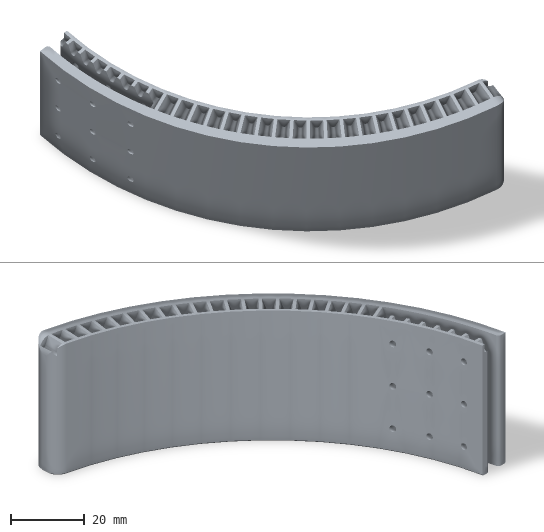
import cadquery as cq
import math

INNER_RADIUS = 90.0
OUTER_RADIUS = 100.0
HEIGHT = 40.0
START_ANGLE = -71.0
END_ANGLE = 9.0
TIP_RADIUS = 4.0
BOTTOM_CHAMFER = 0.4

FLAP_THICKNESS = 3.0
SLOT_SPAN = 20.0
LEAD_IN_RADIUS = 1.0

HOLE_DIAMETER = 2.0
HOLE_ANGLE_STEP = 7.0
FIRST_HOLE_OFFSET = 4.0
HOLE_HEIGHT_STEP = 13.0
HOLE_COLUMNS = 3
HOLE_ROWS = 3

POCKET_COUNT = 29
POCKET_PITCH = 2.81
LAST_POCKET_OFFSET = 0.8
POCKET_DEPTH = 3.4
POCKET_INNER_WALL = 1.0
POCKET_OUTER_WALL = 3.0
POCKET_FLANK_ANGLE = 21.0
RIB_THICKNESS = 0.95

SLOT_INNER_RADIUS = INNER_RADIUS + FLAP_THICKNESS
SLOT_OUTER_RADIUS = OUTER_RADIUS - FLAP_THICKNESS
SLOT_END_ANGLE = START_ANGLE + SLOT_SPAN
POCKET_INNER_RADIUS = INNER_RADIUS + POCKET_INNER_WALL
POCKET_OUTER_RADIUS = OUTER_RADIUS - POCKET_OUTER_WALL
CLEARANCE = 1.0


def polar(radius, angle):
    """Point in the XY plane at a radius and an angle in degrees."""
    return (radius * math.cos(math.radians(angle)), radius * math.sin(math.radians(angle)))


def radial_plane(radius, angle, z=0.0):
    """Plane facing outward: local x runs along increasing angle, local y runs up."""
    x, y = polar(radius, angle)
    normal_x, normal_y = polar(1.0, angle)
    return cq.Plane(origin=(x, y, z), xDir=(-normal_y, normal_x, 0), normal=(normal_x, normal_y, 0))


def arc_band(inner_radius, outer_radius, start_angle, end_angle):
    """Full-height band between two concentric arcs."""
    middle = (start_angle + end_angle) / 2
    return (
        cq.Workplane("XY")
        .moveTo(*polar(outer_radius, start_angle))
        .threePointArc(polar(outer_radius, middle), polar(outer_radius, end_angle))
        .lineTo(*polar(inner_radius, end_angle))
        .threePointArc(polar(inner_radius, middle), polar(inner_radius, start_angle))
        .close()
        .extrude(HEIGHT)
    )


def upright_edges_near(body, radius, angle):
    """The upright edge of a body closest to a polar position."""
    x, y = polar(radius, angle)
    return body.edges("|Z").edges(cq.selectors.NearestToPointSelector((x, y, HEIGHT / 2)))


def is_off_forked_end(edge):
    """True unless the edge lies in the plane of the forked end."""
    center = edge.Center()
    return math.degrees(math.atan2(center.y, center.x)) > START_ANGLE + CLEARANCE


def make_band():
    """Curved band with a rounded tip and a chamfered bottom rim."""
    band = arc_band(INNER_RADIUS, OUTER_RADIUS, START_ANGLE, END_ANGLE)
    for radius in (INNER_RADIUS, OUTER_RADIUS):
        band = upright_edges_near(band, radius, END_ANGLE).fillet(TIP_RADIUS)
    return band.faces("<Z").edges().filter(is_off_forked_end).chamfer(BOTTOM_CHAMFER)


def make_tip_rounding_tool():
    """Material removed to round the top edge of the tip."""
    diagonal = TIP_RADIUS * math.sqrt(0.5)
    return (
        cq.Workplane(radial_plane(INNER_RADIUS - CLEARANCE, END_ANGLE, HEIGHT - TIP_RADIUS))
        .moveTo(-TIP_RADIUS, TIP_RADIUS)
        .threePointArc((diagonal - TIP_RADIUS, diagonal), (0, 0))
        .lineTo(CLEARANCE, 0)
        .lineTo(CLEARANCE, TIP_RADIUS + CLEARANCE)
        .lineTo(-TIP_RADIUS, TIP_RADIUS + CLEARANCE)
        .close()
        .extrude(OUTER_RADIUS - INNER_RADIUS + 2 * CLEARANCE)
    )


def cut_fork_slot(body):
    """Split the start of the band into two legs and round the slot mouth."""
    slot = arc_band(SLOT_INNER_RADIUS, SLOT_OUTER_RADIUS, START_ANGLE - CLEARANCE, SLOT_END_ANGLE)
    body = body.cut(slot)
    for radius in (SLOT_INNER_RADIUS, SLOT_OUTER_RADIUS):
        body = upright_edges_near(body, radius, START_ANGLE).fillet(LEAD_IN_RADIUS)
    return body


def pocket_profile(radius):
    """Round-bottomed V section of a pocket, whose mouth widens with the radius."""
    slope = math.radians(POCKET_FLANK_ANGLE)
    half_mouth = (radius * math.radians(POCKET_PITCH) - RIB_THICKNESS) / 2
    bottom_radius = (half_mouth - POCKET_DEPTH * math.tan(slope)) / (
        math.cos(slope) - (1 - math.sin(slope)) * math.tan(slope)
    )
    tangent_x = bottom_radius * math.cos(slope)
    tangent_y = bottom_radius * (1 - math.sin(slope)) - POCKET_DEPTH
    top_x = half_mouth + CLEARANCE * math.tan(slope)
    return (
        cq.Workplane(radial_plane(radius, 0, HEIGHT))
        .moveTo(-top_x, CLEARANCE)
        .lineTo(-tangent_x, tangent_y)
        .threePointArc((0, -POCKET_DEPTH), (tangent_x, tangent_y))
        .lineTo(top_x, CLEARANCE)
        .close()
        .val()
    )


def make_pockets():
    """Row of pocket tools along the top face, from the tip back to the forked end."""
    profiles = [pocket_profile(radius) for radius in (POCKET_INNER_RADIUS, POCKET_OUTER_RADIUS)]
    pocket = cq.Solid.makeLoft(profiles, True)
    pockets = cq.Workplane("XY")
    for index in range(POCKET_COUNT):
        angle = END_ANGLE - LAST_POCKET_OFFSET - index * POCKET_PITCH
        pockets = pockets.add(pocket.rotate(cq.Vector(), cq.Vector(0, 0, 1), angle))
    return pockets.combine()


def make_holes():
    """Grid of radial pins that drill both legs of the fork."""
    length = OUTER_RADIUS - INNER_RADIUS + 2 * CLEARANCE
    holes = cq.Workplane("XY")
    for column in range(HOLE_COLUMNS):
        angle = START_ANGLE + FIRST_HOLE_OFFSET + column * HOLE_ANGLE_STEP
        plane = radial_plane(INNER_RADIUS - CLEARANCE, angle, HEIGHT / 2)
        pins = (
            cq.Workplane(plane)
            .rarray(1, HOLE_HEIGHT_STEP, 1, HOLE_ROWS)
            .circle(HOLE_DIAMETER / 2)
            .extrude(length)
        )
        holes = holes.add(pins)
    return holes.combine()


band = make_band().cut(make_tip_rounding_tool())
forked_band = cut_fork_slot(band)
result = forked_band.cut(make_holes()).cut(make_pockets())